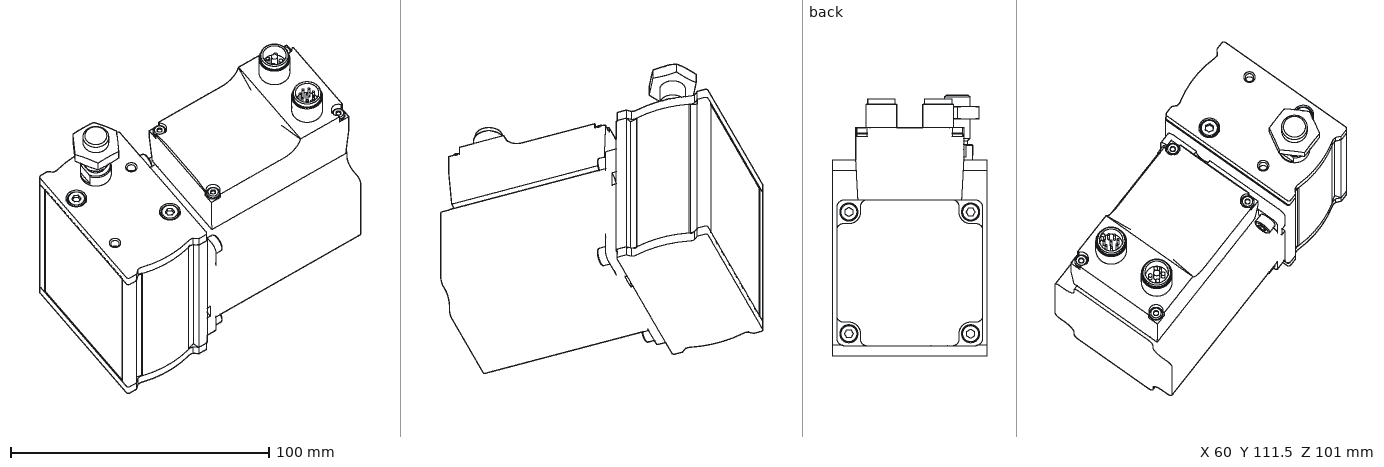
import cadquery as cq
import math


housing_width = 60.0
cap_depth = 37.8
housing_height = 76.0
cap_thickness = 4.25
profile_rear_overhang = 0.4
corner_radius = 1.0
overall_length = 111.5
overall_height = 101.0

mid_y = cap_depth / 2
half_width = housing_width / 2
profile_rear = cap_depth + profile_rear_overhang
cap_top_base = housing_height - cap_thickness

land_end = 14.75
waist_outer = 13.1
waist_inner = 10.8
waist_inset = 1.45
waist_sag = 0.2
groove_step = 0.4
groove_step_width = 0.4
groove_bottom = 14.0
groove_inset = 2.6
panel_half_width = 26.0
panel_recess = 0.4

rod_x = -18.4
rod_diameter = 12.0
rod_shoulder_z = housing_height + 6.0
rod_flat_width = 10.0
rod_collar_height = 1.0
neck_diameter = 8.0
neck_top_z = rod_shoulder_z + 2.3
thread_diameter = 10.0
thread_chamfer = 0.75
rod_edge_chamfer = 0.4
nut_width = 17.0
nut_thickness = 5.0
nut_bottom_z = overall_height - 9.3
nut_chamfer_angle = math.radians(15)

screw_half_pitch = 13.0
screw_diameter = 4.0
clearance_diameter = 4.5
head_diameter = 7.0
socket_width = 3.0
counterbore_diameter = 8.0
counterbore_depth = 2.8
cap_head_height = 2.8
cap_socket_depth = 1.5
cap_screw_depth = 12.0
head_chamfer = 0.4
mount_hole_diameter = 3.24
mount_countersink_diameter = 4.4
mount_hole_depth = 10.0
drill_point_angle = math.radians(59)

motor_width = 56.5
motor_z = 32.2
motor_half = motor_width / 2
motor_top = motor_z + motor_half
flange_thickness = 4.8
flange_rear = profile_rear + flange_thickness
flange_corner_radius = 3.0
motor_screw_pitch = 47.14
motor_screw_inset = motor_half - motor_screw_pitch / 2
corner_channel_diameter = 9.02
channel_lip_radius = 2.5
motor_head_height = 4.0
motor_socket_depth = 2.0
pocket_offset = 11.35
pocket_width = 6.35
pocket_length = 2.1
pocket_depth = 4.5

case_half_width = 20.95
case_front = 45.9
case_rear = 111.0
case_taper = 0.85
case_seam_z = 75.9
case_top_z = 88.4
low_top_z = 83.0
low_edge_z = 82.1
lid_front_chamfer = 0.5
crown_half_width = 10.4
step_top_y = 88.2
slope_end_y = 86.6
slope_end_z = 86.6
cove_end_y = 80.3
lid_screw_inset = 2.9
lid_pocket_diameter = 5.5
lid_corner_opening = 4.4
lid_pocket_floor_drop = 3.4
lid_front_floor_drop = 3.0
lid_head_diameter = 5.0
lid_head_chamfer = 0.5
lid_head_height = 1.4
lid_socket_diameter = 2.0
lid_socket_depth = 0.8

connector_x = 11.0
connector_y = 98.2
connector_diameter = 12.0
connector_rim_diameter = 10.7
connector_bore = 9.02
connector_shoulder_z = 97.6
connector_top_z = 99.6
connector_bore_depth = 6.0
contact_gap = 1.0
power_pin_gap = 3.0
connector_chamfer = 0.3
power_pin_diameter = 1.5
power_pin_offset = 1.8
power_post_diameter = 2.4
power_key_y = -2.5
signal_pin_diameter = 0.8
signal_pin_radius = 2.75
signal_pin_step = 49.0
signal_key_width = 1.2
signal_key_length = 1.3

overlap = 0.5


def waist_curve(side):
    """Concave waists and bulging middle of a cap, running from front to rear on one side."""
    def waist_x(inset):
        return side * (half_width - inset)

    mid_waist = (waist_outer + waist_inner) / 2
    return [
        ((waist_x(0), mid_y - land_end), None),
        ((waist_x(waist_inset), mid_y - waist_outer), None),
        ((waist_x(waist_inset), mid_y - waist_inner), (waist_x(waist_inset + waist_sag), mid_y - mid_waist)),
        ((waist_x(waist_inset), mid_y + waist_inner), (waist_x(0), mid_y)),
        ((waist_x(waist_inset), mid_y + waist_outer), (waist_x(waist_inset + waist_sag), mid_y + mid_waist)),
        ((waist_x(0), mid_y + land_end), None),
    ]


def groove_curve(side):
    """Stepped, sloping grooves and bulging middle of the profile, from front to rear on one side."""
    def groove_x(inset):
        return side * (half_width - inset)

    step_end = waist_inner + groove_step_width
    return [
        ((groove_x(0), mid_y - land_end), None),
        ((groove_x(groove_inset), mid_y - groove_bottom), None),
        ((groove_x(waist_inset + groove_step), mid_y - step_end), None),
        ((groove_x(waist_inset), mid_y - waist_inner), None),
        ((groove_x(waist_inset), mid_y + waist_inner), (groove_x(0), mid_y)),
        ((groove_x(waist_inset + groove_step), mid_y + step_end), None),
        ((groove_x(groove_inset), mid_y + groove_bottom), None),
        ((groove_x(0), mid_y + land_end), None),
    ]


def reverse_curve(curve):
    """The same stretch walked backwards; each arc midpoint moves to the other end of its arc."""
    points = [point for point, _ in reversed(curve)]
    middles = [None] + [middle for _, middle in reversed(curve)][:-1]
    return list(zip(points, middles))


def housing_block(side_curve, rear, height, base_z):
    """Prism with the given contour on both sides and rounded vertical corners."""
    stretch = side_curve(1)
    stretch += [((half_width, rear), None), ((-half_width, rear), None)]
    stretch += reverse_curve(side_curve(-1))
    outline = cq.Workplane("XY").workplane(offset=base_z).moveTo(-half_width, 0).lineTo(half_width, 0)
    for point, middle in stretch:
        if middle is None:
            outline = outline.lineTo(*point)
        else:
            outline = outline.threePointArc(middle, point)
    block = outline.close().extrude(height)
    reach = corner_radius / 2
    for x in (-half_width, half_width):
        for y in (0, rear):
            low = (x - reach, y - reach, base_z - 1)
            high = (x + reach, y + reach, base_z + height + 1)
            corner = cq.selectors.BoxSelector(low, high)
            block = block.edges(corner).edges("|Z").fillet(corner_radius)
    return block


def cylinder_z(diameter, bottom, top, x=0.0, y=0.0):
    return cq.Workplane("XY", origin=(x, y, bottom)).circle(diameter / 2).extrude(top - bottom)


cap_screw_spots = [(s * screw_half_pitch, mid_y + s * screw_half_pitch) for s in (-1, 1)]
mount_hole_spots = [(s * screw_half_pitch, mid_y - s * screw_half_pitch) for s in (-1, 1)]


def mount_hole(x, y):
    """Countersunk blind hole with a conical end, drilled down from the top."""
    radius = mount_hole_diameter / 2
    rim = mount_countersink_diameter / 2
    floor = housing_height - mount_hole_depth
    tip = floor - radius / math.tan(drill_point_angle)
    half_section = [
        (0, tip),
        (radius, floor),
        (radius, housing_height - (rim - radius)),
        (rim, housing_height),
        (0, housing_height),
    ]
    hole = cq.Workplane("XZ").polyline(half_section).close().revolve(360, (0, 0), (0, 1))
    return hole.translate((x, y, 0))


profile = housing_block(groove_curve, profile_rear, cap_top_base - cap_thickness, cap_thickness)
panel = cq.Workplane("XY").box(
    2 * panel_half_width, 2 * panel_recess, housing_height, centered=(True, True, False)
)
profile = profile.cut(panel)
for spot in mount_hole_spots:
    profile = profile.cut(mount_hole(*spot))
for spot in cap_screw_spots:
    profile = profile.cut(cylinder_z(screw_diameter, housing_height - cap_screw_depth, cap_top_base, *spot))

bottom_cap = housing_block(waist_curve, cap_depth, cap_thickness, 0)

top_cap = housing_block(waist_curve, cap_depth, cap_thickness, cap_top_base)
top_cap = top_cap.cut(cylinder_z(rod_diameter, cap_top_base, housing_height, rod_x, mid_y))
for spot in mount_hole_spots:
    top_cap = top_cap.cut(mount_hole(*spot))
for spot in cap_screw_spots:
    top_cap = top_cap.cut(cylinder_z(clearance_diameter, cap_top_base, housing_height, *spot))
    seat_z = housing_height - counterbore_depth
    top_cap = top_cap.cut(cylinder_z(counterbore_diameter, seat_z, housing_height, *spot))


def socket_head(height, socket_depth):
    """Screw head standing on Z = 0 with a chamfered rim and a hexagon socket."""
    head = cylinder_z(head_diameter, 0, height).faces(">Z").edges().chamfer(head_chamfer)
    across_corners = socket_width / math.cos(math.pi / 6)
    socket = cq.Workplane("XY", origin=(0, 0, height - socket_depth)).polygon(6, across_corners)
    return head.cut(socket.extrude(socket_depth))


def cap_screw(x, y):
    shank_length = cap_screw_depth - counterbore_depth
    screw = socket_head(cap_head_height, cap_socket_depth)
    screw = screw.union(cylinder_z(screw_diameter, -shank_length, 0))
    return screw.translate((x, y, housing_height - counterbore_depth))


cap_screws = [cap_screw(*spot) for spot in cap_screw_spots]


def build_rod():
    """Turned rod with wrench flats, an undercut neck and a threaded end; it stands on the profile."""
    half_section = [
        (0, cap_top_base),
        (rod_diameter / 2, cap_top_base),
        (rod_diameter / 2, rod_shoulder_z - rod_edge_chamfer),
        (rod_diameter / 2 - rod_edge_chamfer, rod_shoulder_z),
        (neck_diameter / 2, rod_shoulder_z),
        (neck_diameter / 2, neck_top_z - (thread_diameter - neck_diameter) / 2),
        (thread_diameter / 2, neck_top_z),
        (thread_diameter / 2, overall_height - thread_chamfer),
        (thread_diameter / 2 - thread_chamfer, overall_height),
        (0, overall_height),
    ]
    rod = cq.Workplane("XZ").polyline(half_section).close().revolve(360, (0, 0), (0, 1))
    flat_bottom = housing_height + rod_collar_height
    for side in (-1, 1):
        beyond_flat = cq.Workplane("XY").box(
            rod_diameter, rod_diameter, rod_shoulder_z - flat_bottom, centered=(True, True, False)
        )
        shift = side * (rod_flat_width + rod_diameter) / 2
        rod = rod.cut(beyond_flat.translate((0, shift, flat_bottom)))
    return rod.translate((rod_x, mid_y, 0))


rod = build_rod()


def build_nut():
    """Hexagon nut with corners towards +-Y, its corners bevelled on both faces."""
    across_corners = nut_width / math.cos(math.pi / 6)
    corner_drop = (across_corners - nut_width) / 2 * math.tan(nut_chamfer_angle)
    hexagon = cq.Workplane("XY").polygon(6, across_corners).extrude(nut_thickness)
    hexagon = hexagon.rotate((0, 0, 0), (0, 0, 1), 30)
    bevel_section = [
        (0, 0),
        (nut_width / 2, 0),
        (across_corners / 2, corner_drop),
        (across_corners / 2, nut_thickness - corner_drop),
        (nut_width / 2, nut_thickness),
        (0, nut_thickness),
    ]
    bevel = cq.Workplane("XZ").polyline(bevel_section).close().revolve(360, (0, 0), (0, 1))
    nut = hexagon.intersect(bevel).cut(cylinder_z(thread_diameter, 0, nut_thickness))
    return nut.translate((rod_x, mid_y, nut_bottom_z))


nut = build_nut()


def quarter_turns(shape):
    """Four copies of a shape, a quarter turn apart about the motor axis."""
    return [shape.rotate((0, 0, motor_z), (0, 1, motor_z), 90 * turn) for turn in range(4)]


def corner_channel():
    """Cutter behind the flange for the screw channel in the top left motor corner."""
    channel_radius = corner_channel_diameter / 2
    centre = motor_screw_inset
    lip = centre + channel_radius
    lip_end = lip + channel_lip_radius
    lip_bend = channel_lip_radius * (1 - math.sqrt(0.5))
    channel_bend = centre + channel_radius * math.sqrt(0.5)

    def at(inset_x, inset_z):
        return (-motor_half + inset_x, motor_top - inset_z)

    outline = (
        cq.Workplane("XZ", origin=(0, flange_rear, 0))
        .moveTo(*at(-overlap, -overlap))
        .lineTo(*at(-overlap, lip_end))
        .lineTo(*at(0, lip_end))
        .threePointArc(at(lip_bend, lip + lip_bend), at(channel_lip_radius, lip))
        .lineTo(*at(centre, lip))
        .threePointArc(at(channel_bend, channel_bend), at(lip, centre))
        .lineTo(*at(lip, channel_lip_radius))
        .threePointArc(at(lip + lip_bend, lip_bend), at(lip_end, 0))
        .lineTo(*at(lip_end, -overlap))
        .close()
    )
    return outline.extrude(-(overall_length - flange_rear))


def flange_pocket():
    """Round-bottomed pocket in the top face of the flange, next to the housing."""
    centre_z = motor_top - pocket_depth + pocket_width / 2
    pocket = (
        cq.Workplane("XZ", origin=(pocket_offset, profile_rear, 0))
        .moveTo(-pocket_width / 2, motor_top + overlap)
        .lineTo(-pocket_width / 2, centre_z)
        .threePointArc((0, motor_top - pocket_depth), (pocket_width / 2, centre_z))
        .lineTo(pocket_width / 2, motor_top + overlap)
        .close()
    )
    return pocket.extrude(-pocket_length)


def motor_block():
    length = overall_length - profile_rear
    block = (
        cq.Workplane("XZ", origin=(0, profile_rear, motor_z))
        .rect(motor_width, motor_width)
        .extrude(-length)
        .edges("|Y")
        .fillet(flange_corner_radius)
    )
    head = socket_head(motor_head_height, motor_socket_depth).rotate((0, 0, 0), (1, 0, 0), -90)
    head = head.translate((-motor_screw_pitch / 2, flange_rear, motor_z + motor_screw_pitch / 2))
    for cutter in quarter_turns(corner_channel()) + quarter_turns(flange_pocket()):
        block = block.cut(cutter)
    for screw_head in quarter_turns(head):
        block = block.union(screw_head)
    return block


def lowered_section(x, floor_z, arc_start):
    """Wire across the cutter that lowers the front of the case; arc_start is the top of the cove."""
    start_y, start_z = arc_start
    run = start_y - cove_end_y
    rise = start_z - floor_z
    radius = (run**2 + rise**2) / (2 * rise)
    half_sweep = math.atan2(rise, run)
    middle = (cove_end_y + radius * math.sin(half_sweep), floor_z + radius * (1 - math.cos(half_sweep)))
    above = case_top_z + overlap
    return (
        cq.Workplane("YZ", origin=(x, 0, 0))
        .moveTo(case_front - overlap, above)
        .lineTo(case_front - overlap, floor_z)
        .lineTo(cove_end_y, floor_z)
        .threePointArc(middle, (start_y, start_z))
        .lineTo(step_top_y, case_top_z)
        .lineTo(step_top_y, above)
        .close()
        .wire()
        .val()
    )


def lowered_front():
    """Cutter for the low front of the case: level in the middle, falling towards both sides."""
    crown_start = (slope_end_y, slope_end_z)
    edge_slope = 0.1
    edge_start = (step_top_y - edge_slope, case_top_z - edge_slope)
    sections = [
        lowered_section(-case_half_width, low_edge_z, edge_start),
        lowered_section(-crown_half_width, low_top_z, crown_start),
        lowered_section(crown_half_width, low_top_z, crown_start),
        lowered_section(case_half_width, low_edge_z, edge_start),
    ]
    return [cq.Solid.makeLoft(list(pair), True) for pair in zip(sections, sections[1:])]


def electronics_case():
    depth = case_rear - case_front
    middle_y = (case_front + case_rear) / 2
    tapered = (
        cq.Workplane("XY", origin=(0, middle_y, motor_top))
        .rect(2 * (case_half_width - case_taper), depth - 2 * case_taper)
        .workplane(offset=case_seam_z - motor_top)
        .rect(2 * case_half_width, depth)
        .loft(ruled=True)
    )
    lid = (
        cq.Workplane("XY", origin=(0, middle_y, case_seam_z))
        .rect(2 * case_half_width, depth)
        .extrude(case_top_z - case_seam_z)
    )
    for cutter in lowered_front():
        lid = lid.cut(cq.Workplane(cutter))
    front_chamfer = [
        (case_front, low_edge_z),
        (case_front + lid_front_chamfer, low_top_z),
        (case_front, low_top_z),
    ]
    wedge = cq.Workplane("YZ").polyline(front_chamfer).close().extrude(case_half_width, both=True)
    return tapered.union(lid.cut(wedge))


def lid_screw_pocket(side, corner_y, inward, floor_z):
    """Round pocket beside a lid corner, opened through to the corner."""
    x = side * (case_half_width - lid_screw_inset)
    y = corner_y + inward * lid_screw_inset
    opening_x = side * (case_half_width - lid_corner_opening / 2)
    opening_y = corner_y + inward * lid_corner_opening / 2
    height = case_top_z - floor_z
    opening = cq.Workplane("XY", origin=(opening_x, opening_y, floor_z))
    opening = opening.rect(lid_corner_opening, lid_corner_opening).extrude(height)
    return cylinder_z(lid_pocket_diameter, floor_z, case_top_z, x, y).union(opening)


def lid_screw_head(side, corner_y, inward, floor_z):
    x = side * (case_half_width - lid_screw_inset)
    y = corner_y + inward * lid_screw_inset
    top = floor_z + lid_head_height
    head = cylinder_z(lid_head_diameter, floor_z - overlap, top, x, y)
    head = head.faces(">Z").edges().chamfer(lid_head_chamfer)
    return head.cut(cylinder_z(lid_socket_diameter, top - lid_socket_depth, top, x, y))


def connector_shell(x):
    """Round connector housing with a reduced rim and an open bore."""
    shell = cylinder_z(connector_diameter, case_top_z - overlap, connector_shoulder_z)
    shell = shell.faces(">Z").edges().chamfer(connector_chamfer)
    shell = shell.union(cylinder_z(connector_rim_diameter, connector_shoulder_z - overlap, connector_top_z))
    bore_floor = connector_top_z - connector_bore_depth
    shell = shell.cut(cylinder_z(connector_bore, bore_floor, connector_top_z))
    return shell.translate((x, connector_y, 0))


def contact(diameter, x, y, gap=contact_gap):
    """Pin standing on the bore floor of a connector, its tip the given gap below the rim."""
    bottom = connector_top_z - connector_bore_depth - overlap
    return cylinder_z(diameter, bottom, connector_top_z - gap, x, connector_y + y)


def power_connector():
    x = -connector_x
    connector = connector_shell(x)
    for side_x in (-1, 1):
        for side_y in (-1, 1):
            pin_x = x + side_x * power_pin_offset
            pin = contact(power_pin_diameter, pin_x, side_y * power_pin_offset, power_pin_gap)
            connector = connector.union(pin)
    connector = connector.union(contact(power_post_diameter, x, 0))
    return connector.union(contact(signal_pin_diameter, x, power_key_y))


def signal_connector():
    x = connector_x
    connector = connector_shell(x).union(contact(signal_pin_diameter, x, 0))
    for step in range(-3, 4):
        angle = math.pi + math.radians(step * signal_pin_step)
        pin_x = x + signal_pin_radius * math.cos(angle)
        connector = connector.union(contact(signal_pin_diameter, pin_x, signal_pin_radius * math.sin(angle)))
    key_outer = x + (connector_bore + connector_rim_diameter) / 4
    key_inner = x + connector_bore / 2 - signal_key_length
    key_bottom = connector_top_z - connector_bore_depth
    key = cq.Workplane("XY", origin=((key_outer + key_inner) / 2, connector_y, key_bottom))
    key = key.rect(key_outer - key_inner, signal_key_width)
    return connector.union(key.extrude(connector_bore_depth - contact_gap))


def build_motor():
    motor = motor_block().union(electronics_case())
    lid_corners = [
        (case_front, 1, low_top_z - lid_front_floor_drop),
        (case_rear, -1, case_top_z - lid_pocket_floor_drop),
    ]
    for side in (-1, 1):
        for corner_y, inward, floor_z in lid_corners:
            motor = motor.cut(lid_screw_pocket(side, corner_y, inward, floor_z))
            motor = motor.union(lid_screw_head(side, corner_y, inward, floor_z))
    return motor.union(power_connector()).union(signal_connector())


motor = build_motor()

result = cq.Compound.makeCompound(
    [
        profile.val(),
        bottom_cap.val(),
        top_cap.val(),
        *[screw.val() for screw in cap_screws],
        rod.val(),
        nut.val(),
        motor.val(),
    ]
)